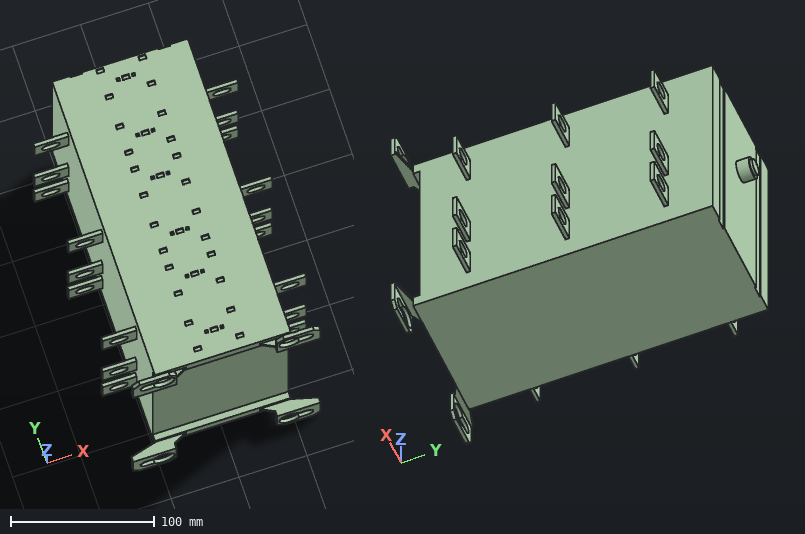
import cadquery as cq
body_width = 100.0
body_length = 227.0
body_height = 160.0
front_recess_depth = 5.0
front_lip_height = 10.0

back_groove_width = 8.5
back_groove_depth = 1.0
back_groove_offset = 32.5

tab_reach = 25.0
tab_thickness = 3.0
tab_height = 20.0
tab_row_heights = (52.5, -17.5, -52.5)
tab_pitch = 75.0
tab_middle_y = 117.0
tab_hole_length = 13.0
tab_hole_width = 9.0
tab_hole_edge_gap = 5.5

overall_height = 194.0
bracket_front_y = -9.0
bracket_thickness = 3.0
web_thickness = 2.5
bend_length = 1.0
bracket_outer_x = 69.0
bracket_inner_x = 37.0
bracket_bottom_z = 72.5
bracket_corner_chamfer = 5.0
web_inner_x = 27.0
keyhole_slot_width = 9.0
keyhole_slot_x = 59.0
keyhole_round_diameter = 16.0
keyhole_round_x = 46.5
keyhole_z = 86.0

shaft_z = 17.5
shaft_diameter = 16.0
shaft_length = 9.5
shaft_tip_diameter = 12.0
shaft_tip_length = 2.0

pocket_depth = 2.0
pocket_middle_y = 116.4
pocket_length = 5.0
pocket_width = 3.0
small_pocket_size = 2.0
corner_pocket_x = 15.5
corner_pocket_y = 10.0
small_pocket_x = 5.65
group_pair_pitch = 76.0
group_half_gap = 21.5


def make_body():
    """Housing block with a recessed front face between two lips and grooves in the back."""
    body = cq.Workplane("XY").box(body_width, body_length, body_height, centered=(True, False, True))
    front_recess = cq.Workplane("XY").box(
        body_width,
        front_recess_depth,
        body_height - 2 * front_lip_height,
        centered=(True, False, True),
    )
    back_grooves = (
        cq.Workplane("XY")
        .pushPoints([(side * back_groove_offset, body_length) for side in (-1, 1)])
        .rect(back_groove_width, 2 * back_groove_depth)
        .extrude(body_height / 2, both=True)
    )
    return body.cut(front_recess).cut(back_grooves)


def make_tab_layer(y_center):
    """All tabs at one depth: bars through the housing with a slotted hole at each end."""
    bar_length = body_width + 2 * tab_reach
    hole_x = bar_length / 2 - tab_hole_edge_gap - tab_hole_length / 2
    row_centers = [(0, z) for z in tab_row_heights]
    hole_centers = [(side * hole_x, z) for side in (-1, 1) for z in tab_row_heights]
    plane = cq.Workplane("XZ", origin=(0, y_center, 0))
    bars = plane.pushPoints(row_centers).rect(bar_length, tab_height).extrude(tab_thickness / 2, both=True)
    holes = (
        plane.pushPoints(hole_centers)
        .slot2D(tab_hole_length, tab_hole_width)
        .extrude(tab_thickness / 2, both=True)
    )
    return bars.cut(holes)


def make_bracket():
    """Bracket of the +X, +Z corner: upright plate with a keyhole and a splayed flat web."""
    plate_width = bracket_outer_x - bracket_inner_x
    plate_height = overall_height / 2 - bracket_bottom_z
    plate_back_y = bracket_front_y + bracket_thickness
    plate = (
        cq.Workplane("XY")
        .box(plate_width, bracket_thickness, plate_height, centered=False)
        .translate((bracket_inner_x, bracket_front_y, bracket_bottom_z))
        .edges("|Y and >Z")
        .chamfer(bracket_corner_chamfer)
    )
    web = (
        cq.Workplane("XY", origin=(0, 0, bracket_bottom_z))
        .polyline(
            [
                (bracket_inner_x, plate_back_y),
                (bracket_outer_x, plate_back_y),
                (bracket_outer_x, plate_back_y + bend_length),
                (body_width / 2, 0),
                (web_inner_x, 0),
                (bracket_inner_x, plate_back_y + bend_length),
            ]
        )
        .close()
        .extrude(web_thickness)
    )
    keyhole_plane = cq.Workplane("XZ", origin=(0, plate_back_y, keyhole_z))
    keyhole_round = (
        keyhole_plane.center(keyhole_round_x, 0).circle(keyhole_round_diameter / 2).extrude(bracket_thickness)
    )
    slot_center_distance = keyhole_slot_x - keyhole_round_x
    keyhole_slot = (
        keyhole_plane.center((keyhole_slot_x + keyhole_round_x) / 2, 0)
        .slot2D(slot_center_distance + keyhole_slot_width, keyhole_slot_width)
        .extrude(bracket_thickness)
    )
    return plate.cut(keyhole_round).cut(keyhole_slot).union(web)


def make_all_brackets():
    """The corner bracket mirrored to all four front corners."""
    right_top = make_bracket()
    top_pair = right_top.union(right_top.mirror("YZ"))
    return top_pair.union(top_pair.mirror("XY"))


def make_shaft():
    """Round shaft with a stepped tip, standing on the back face."""
    return (
        cq.Workplane("XZ", origin=(0, body_length, shaft_z))
        .circle(shaft_diameter / 2)
        .extrude(-shaft_length)
        .faces(">Y")
        .workplane()
        .circle(shaft_tip_diameter / 2)
        .extrude(shaft_tip_length)
    )


def make_pocket_group(y_center):
    """One group of pockets: four at the corners, one in the middle and two small squares."""
    plane = cq.Workplane("XY", origin=(0, y_center, body_height / 2))
    corners = [(sx * corner_pocket_x, sy * corner_pocket_y) for sx in (-1, 1) for sy in (-1, 1)]
    large = plane.pushPoints(corners + [(0, 0)]).rect(pocket_length, pocket_width).extrude(-pocket_depth)
    small = (
        plane.pushPoints([(-small_pocket_x, 0), (small_pocket_x, 0)])
        .rect(small_pocket_size, small_pocket_size)
        .extrude(-pocket_depth)
    )
    return large.union(small)


result = make_body().union(make_all_brackets()).union(make_shaft())
for phase in (-1, 0, 1):
    result = result.union(make_tab_layer(tab_middle_y + phase * tab_pitch))
for pair in (-1, 0, 1):
    for half in (-1, 1):
        group_y = pocket_middle_y + pair * group_pair_pitch + half * group_half_gap
        result = result.cut(make_pocket_group(group_y))